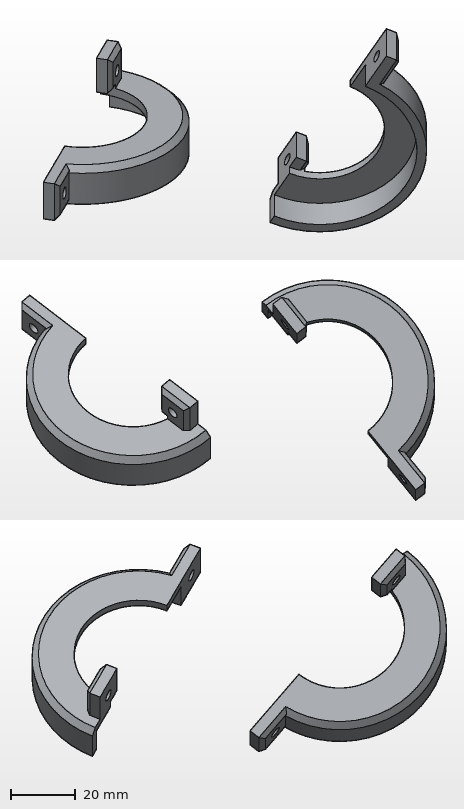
import cadquery as cq

outer_radius = 33.0
bore_radius = 20.0
recess_radius = 30.0
ring_height = 13.0
recess_depth = 10.0
rim_chamfer = 2.0

overall_length = 77.0
overall_height = 25.0
tab_thickness = 5.0
tab_chamfer = 1.5
hole_diameter = 3.7

upper_tab_y_min = 15.55
upper_tab_width = 12.0
upper_tab_y_max = upper_tab_y_min + upper_tab_width
upper_hole_y = upper_tab_y_min + upper_tab_width / 2
upper_hole_z = 18.2

lower_tab_y_min = outer_radius - overall_length
lower_tab_y_max = -recess_radius
lower_hole_y = -37.6
lower_hole_z = ring_height / 2


def half_ring():
    """Revolve the stepped wall section through half a turn on the +X side."""
    section = [
        (recess_radius, 0),
        (outer_radius, 0),
        (outer_radius, ring_height - rim_chamfer),
        (outer_radius - rim_chamfer, ring_height),
        (bore_radius, ring_height),
        (bore_radius, recess_depth),
        (recess_radius, recess_depth),
    ]
    ring = cq.Workplane("YZ").polyline(section).close().revolve(180, (0, 0), (0, -1))
    return ring


def tab(y_min, y_max, z_min, z_max, chamfered_edges):
    """Rectangular tab with the selected edges of its +X face chamfered."""
    block = cq.Workplane("XY").box(tab_thickness, y_max - y_min, z_max - z_min, centered=False)
    block = block.translate((0, y_min, z_min))
    return block.faces(">X").edges(chamfered_edges).chamfer(tab_chamfer)


def upper_tab():
    """Tab standing on the ring; its lower edge is chamfered only where it overhangs the bore."""
    bounds = (upper_tab_y_min, upper_tab_y_max, ring_height, overall_height)
    overhang = tab(*bounds, "<Y or >Y or <Z or >Z")
    bore = cq.Workplane("XY").circle(bore_radius).extrude(overall_height)
    seated = tab(*bounds, "<Y or >Y or >Z").cut(bore)
    return overhang.union(seated)


def lower_tab():
    """Tab reaching outward in -Y from the ring wall, over its full height."""
    return tab(lower_tab_y_min, lower_tab_y_max, 0, ring_height, "<Y or <Z or >Z")


def tab_holes():
    """Through holes along X, one in each tab."""
    centers = [(upper_hole_y, upper_hole_z), (lower_hole_y, lower_hole_z)]
    return cq.Workplane("YZ").pushPoints(centers).circle(hole_diameter / 2).extrude(tab_thickness)


result = half_ring().union(upper_tab()).union(lower_tab()).cut(tab_holes())